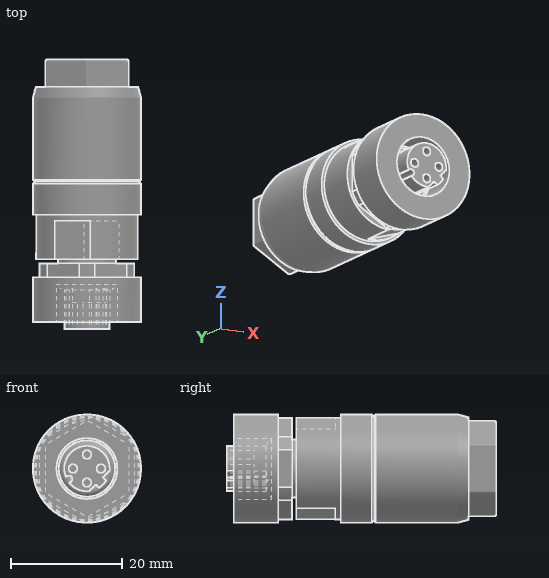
import cadquery as cq
import math


LENGTH = 48.5
COUPLING_FRONT = 1.25
COUPLING_BACK = 9.3
GRIP_BACK = 11.8
NECK_FRONT = 12.5
FLAT_BACK = 19.5
SLEEVE_FRONT = 20.5
SLEEVE_GROOVE = 26.55
TAPER_START = 41.55
SLEEVE_BACK = 43.5

SLEEVE_RADIUS = 9.75
TAPER_DROP = 0.55
GROOVE_FRONT_CHAMFER = 0.45
GROOVE_BACK_CHAMFER = 0.3
NECK_RADIUS = 9.15
SPINDLE_RADIUS = 5.25

FLAT_DISTANCE = 8.55
FLAT_TILT = 17.5

GRIP_FLAT_DISTANCE = 8.55

NUT_FLAT_DISTANCE = 7.5
NUT_EDGE_RADIUS = 0.5

BORE_RADIUS = 5.5
BORE_DEPTH = 6.8
SEAL_SECTION_RADIUS = 0.95

INSERT_RADIUS = 4.05
CONTACT_COUNT = 4
CONTACT_CIRCLE_RADIUS = 2.5
CONTACT_RADIUS = 0.8
CONTACT_DEPTH = 4.85
KEY_ANGLE = -45.0
KEY_WIDTH = 1.85
KEY_FLAT_DISTANCE = 3.15
CODING_GROOVE_ANGLE = 210.0
CODING_GROOVE_CENTRE_RADIUS = 3.8
CODING_GROOVE_RADIUS = 0.65

BORE_FLOOR = COUPLING_FRONT + BORE_DEPTH


def section(y):
    """Workplane across the axis at y, with local x = +X, local y = +Z and extrusion towards -Y."""
    return cq.Workplane("XZ", origin=(0, y, 0))


def cylinder(radius, front, back):
    return section(back).circle(radius).extrude(back - front)


def hexagon(flat_distance, front, back):
    """Hexagonal prism with corners on +Z and -Z."""
    corner_diameter = 2 * flat_distance / math.cos(math.pi / 6)
    prism = section(back).polygon(6, corner_diameter).extrude(back - front)
    return prism.rotate((0, 0, 0), (0, 1, 0), 30)


def make_sleeve():
    """Rear sleeve with a V groove and a tapered back end."""
    profile = [
        (0, SLEEVE_FRONT),
        (SLEEVE_RADIUS, SLEEVE_FRONT),
        (SLEEVE_RADIUS, SLEEVE_GROOVE - GROOVE_FRONT_CHAMFER),
        (SLEEVE_RADIUS - GROOVE_FRONT_CHAMFER, SLEEVE_GROOVE),
        (SLEEVE_RADIUS - GROOVE_BACK_CHAMFER, SLEEVE_GROOVE),
        (SLEEVE_RADIUS, SLEEVE_GROOVE + GROOVE_BACK_CHAMFER),
        (SLEEVE_RADIUS, TAPER_START),
        (SLEEVE_RADIUS - TAPER_DROP, SLEEVE_BACK),
        (0, SLEEVE_BACK),
    ]
    return cq.Workplane("XY").polyline(profile).close().revolve(360, (0, 0), (0, 1))


def make_neck():
    """Cylindrical neck with a pair of spanner flats open to the front."""
    neck = cylinder(NECK_RADIUS, NECK_FRONT, SLEEVE_FRONT)
    flat_length = FLAT_BACK - NECK_FRONT
    depth = NECK_RADIUS - FLAT_DISTANCE
    for side in (1, -1):
        cutter = (
            section(FLAT_BACK)
            .center(0, side * (FLAT_DISTANCE + depth / 2))
            .rect(2 * NECK_RADIUS, depth)
            .extrude(flat_length)
            .rotate((0, 0, 0), (0, 1, 0), -FLAT_TILT)
        )
        neck = neck.cut(cutter)
    return neck


def make_cable_nut():
    nut = hexagon(NUT_FLAT_DISTANCE, SLEEVE_BACK, LENGTH)
    return nut.edges("|Y").fillet(NUT_EDGE_RADIUS).faces(">Y").edges().fillet(NUT_EDGE_RADIUS)


def make_coupling():
    """Coupling ring and hexagonal grip, bored from the front."""
    ring = cylinder(SLEEVE_RADIUS, COUPLING_FRONT, COUPLING_BACK)
    grip = cylinder(NECK_RADIUS, COUPLING_BACK, GRIP_BACK)
    grip = grip.intersect(hexagon(GRIP_FLAT_DISTANCE, COUPLING_BACK, GRIP_BACK))
    return ring.union(grip).cut(cylinder(BORE_RADIUS, COUPLING_FRONT, BORE_FLOOR))


def make_key_relief():
    """Segment beyond the key flat, leaving the key rib standing in the middle."""
    depth = INSERT_RADIUS - KEY_FLAT_DISTANCE
    segment = (
        section(BORE_FLOOR)
        .center(KEY_FLAT_DISTANCE + depth / 2, 0)
        .rect(depth, 2 * INSERT_RADIUS)
        .extrude(BORE_FLOOR)
    )
    key = section(BORE_FLOOR).rect(2 * INSERT_RADIUS, KEY_WIDTH).extrude(BORE_FLOOR)
    return segment.cut(key).rotate((0, 0, 0), (0, 1, 0), -KEY_ANGLE)


def make_insert():
    """Contact carrier with contact holes, a key and a small coding groove."""
    insert = cylinder(INSERT_RADIUS, 0, BORE_FLOOR)
    contacts = (
        section(CONTACT_DEPTH)
        .polarArray(CONTACT_CIRCLE_RADIUS, 0, 360, CONTACT_COUNT)
        .circle(CONTACT_RADIUS)
        .extrude(CONTACT_DEPTH)
    )
    coding_groove = (
        section(BORE_FLOOR)
        .polarArray(CODING_GROOVE_CENTRE_RADIUS, CODING_GROOVE_ANGLE, 360, 1)
        .circle(CODING_GROOVE_RADIUS)
        .extrude(BORE_FLOOR)
    )
    return insert.cut(contacts).cut(make_key_relief()).cut(coding_groove)


def make_seal():
    """Sealing ring around the insert, half sunk into the bore floor."""
    return (
        cq.Workplane("XY")
        .center(INSERT_RADIUS, BORE_FLOOR)
        .circle(SEAL_SECTION_RADIUS)
        .revolve(360, (-INSERT_RADIUS, 0), (-INSERT_RADIUS, 1))
    )


result = (
    make_sleeve()
    .union(make_neck())
    .union(make_cable_nut())
    .union(cylinder(SPINDLE_RADIUS, GRIP_BACK, NECK_FRONT))
    .union(make_coupling())
    .union(make_insert())
    .union(make_seal())
)